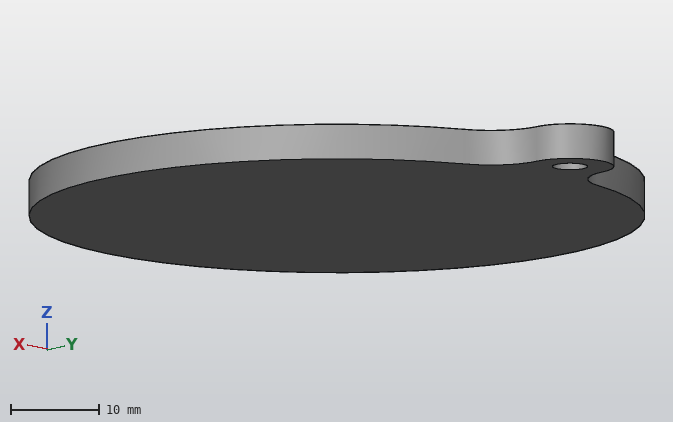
import cadquery as cq
import math

total_length = 79.85
disc_diameter = 69.7
thickness = 4.0

lug_radius = 4.95
hole_diameter = 4.0

disc_radius = disc_diameter / 2
lug_y = total_length - disc_radius - lug_radius

neck_radius = (lug_y**2 + lug_radius**2 - disc_radius**2) / (2 * (disc_radius - lug_radius))
neck_x = lug_radius + neck_radius

rim_angle = math.atan2(lug_y, neck_x)
rim_x = disc_radius * math.cos(rim_angle)
rim_y = disc_radius * math.sin(rim_angle)

neck_mid_angle = rim_angle / 2
neck_mid_x = neck_x - neck_radius * math.cos(neck_mid_angle)
neck_mid_y = lug_y - neck_radius * math.sin(neck_mid_angle)

tag = (
    cq.Workplane("XY")
    .moveTo(rim_x, rim_y)
    .threePointArc((neck_mid_x, neck_mid_y), (lug_radius, lug_y))
    .threePointArc((0, lug_y + lug_radius), (-lug_radius, lug_y))
    .threePointArc((-neck_mid_x, neck_mid_y), (-rim_x, rim_y))
    .threePointArc((0, -disc_radius), (rim_x, rim_y))
    .close()
    .extrude(thickness)
)

hole = cq.Workplane("XY").center(0, lug_y).circle(hole_diameter / 2).extrude(thickness)

result = tag.cut(hole)